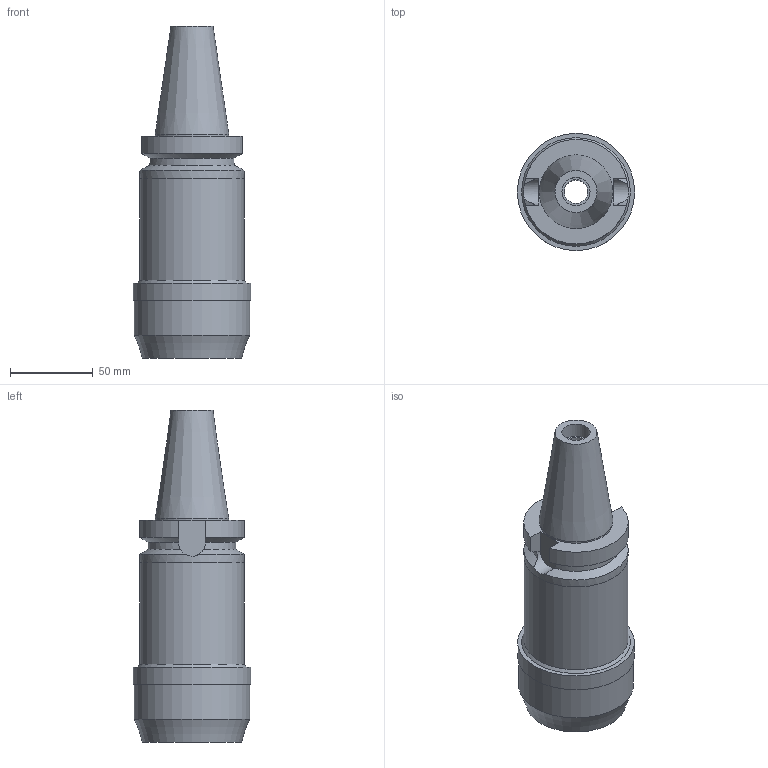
import cadquery as cq


TAPER_LENGTH = 65.4
GAUGE_DIAMETER = 44.45
TAPER_RATIO = 7 / 24
SMALL_END_DIAMETER = GAUGE_DIAMETER - TAPER_RATIO * TAPER_LENGTH

FLANGE_DIAMETER = 63.1
FLANGE_TOP_DEPTH = 1.0
GROOVE_DIAMETER = 53.0
GROOVE_CENTRE_DEPTH = 16.55
GROOVE_FLOOR_WIDTH = 4.3
GROOVE_FLANK_HEIGHT = 2.9

KEYWAY_WIDTH = 16.1
KEYWAY_FLOOR_DISTANCE = 22.6
KEYWAY_BOTTOM_DEPTH = 22.9

BODY_DIAMETER = 62.8
BODY_START_DEPTH = 26.9
BODY_END_DEPTH = 88.0
SHOULDER_DIAMETER = 65.6
COLLAR_DIAMETER = 70.7
COLLAR_TOP_DEPTH = 89.8
COLLAR_BOTTOM_DEPTH = 100.0
NUT_DIAMETER = 69.5
NOSE_TOP_DEPTH = 121.3
NOSE_MIDDLE_DIAMETER = 64.0
NOSE_END_DIAMETER = 60.0
HOLDER_DEPTH = 135.0

BORE_DIAMETER = 14.2
COUNTERBORE_DIAMETER = 17.0
COUNTERBORE_LENGTH = 9.0


def revolved_holder():
    """Solid of revolution holding all the turned outer surfaces."""
    flange_radius = FLANGE_DIAMETER / 2
    gauge_radius = GAUGE_DIAMETER / 2
    groove_radius = GROOVE_DIAMETER / 2
    groove_floor_top = -GROOVE_CENTRE_DEPTH + GROOVE_FLOOR_WIDTH / 2
    groove_floor_bottom = -GROOVE_CENTRE_DEPTH - GROOVE_FLOOR_WIDTH / 2
    nose_middle_depth = (NOSE_TOP_DEPTH + HOLDER_DEPTH) / 2
    outline = (
        cq.Workplane("XZ")
        .moveTo(0, TAPER_LENGTH)
        .lineTo(SMALL_END_DIAMETER / 2, TAPER_LENGTH)
        .lineTo(gauge_radius, 0)
        .lineTo(gauge_radius, -FLANGE_TOP_DEPTH)
        .lineTo(flange_radius, -FLANGE_TOP_DEPTH)
        .lineTo(flange_radius, groove_floor_top + GROOVE_FLANK_HEIGHT)
        .lineTo(groove_radius, groove_floor_top)
        .lineTo(groove_radius, groove_floor_bottom)
        .lineTo(flange_radius, groove_floor_bottom - GROOVE_FLANK_HEIGHT)
        .lineTo(BODY_DIAMETER / 2, -BODY_START_DEPTH)
        .lineTo(BODY_DIAMETER / 2, -BODY_END_DEPTH)
        .lineTo(SHOULDER_DIAMETER / 2, -COLLAR_TOP_DEPTH)
        .lineTo(COLLAR_DIAMETER / 2, -COLLAR_TOP_DEPTH)
        .lineTo(COLLAR_DIAMETER / 2, -COLLAR_BOTTOM_DEPTH)
        .lineTo(NUT_DIAMETER / 2, -COLLAR_BOTTOM_DEPTH)
        .lineTo(NUT_DIAMETER / 2, -NOSE_TOP_DEPTH)
        .threePointArc(
            (NOSE_MIDDLE_DIAMETER / 2, -nose_middle_depth),
            (NOSE_END_DIAMETER / 2, -HOLDER_DEPTH),
        )
        .lineTo(0, -HOLDER_DEPTH)
        .close()
    )
    return outline.revolve(360, (0, 0, 0), (0, 1, 0))


def keyway_cutter(side):
    """Round-ended slot cutter on the +X (side = 1) or -X (side = -1) side."""
    half_width = KEYWAY_WIDTH / 2
    arc_centre_height = half_width - KEYWAY_BOTTOM_DEPTH
    cut_length = side * (FLANGE_DIAMETER - KEYWAY_FLOOR_DISTANCE)
    return (
        cq.Workplane("YZ", origin=(side * KEYWAY_FLOOR_DISTANCE, 0, 0))
        .moveTo(-half_width, 0)
        .lineTo(-half_width, arc_centre_height)
        .threePointArc((0, -KEYWAY_BOTTOM_DEPTH), (half_width, arc_centre_height))
        .lineTo(half_width, 0)
        .close()
        .extrude(cut_length)
    )


def bore_cutter():
    """Through bore with a wider entry at the small end of the taper."""
    through_bore = (
        cq.Workplane("XY", origin=(0, 0, -HOLDER_DEPTH))
        .circle(BORE_DIAMETER / 2)
        .extrude(HOLDER_DEPTH + TAPER_LENGTH)
    )
    entry = (
        cq.Workplane("XY", origin=(0, 0, TAPER_LENGTH))
        .circle(COUNTERBORE_DIAMETER / 2)
        .extrude(-COUNTERBORE_LENGTH)
    )
    return through_bore.union(entry)


result = revolved_holder()
for keyway_side in (-1, 1):
    result = result.cut(keyway_cutter(keyway_side))
result = result.cut(bore_cutter())